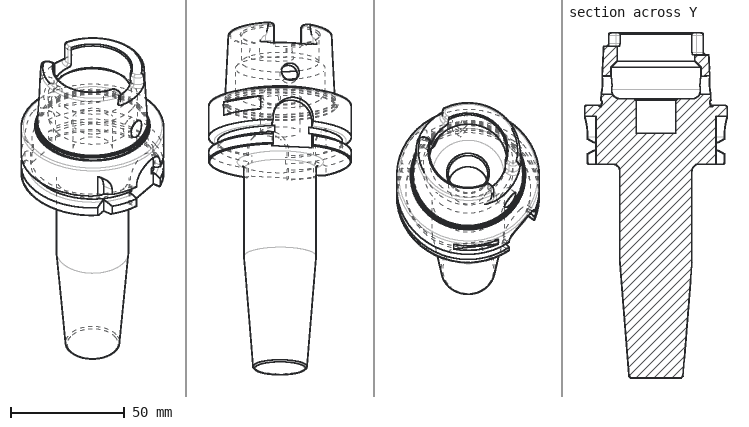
import cadquery as cq
import math


total_length = 152.0
taper_length = 31.9
flange_thickness = 26.0
nose_length = 51.0
tip_z = taper_length - total_length
flange_bottom_z = -flange_thickness
nose_top_z = tip_z + nose_length

taper_top_radius = 22.8
taper_slope = 1 / 20
taper_rim_fillet = 1.0
relief_height = 2.1
relief_step = 0.5
relief_foot_height = 0.6
relief_foot_step = 0.3
face_groove_depth = 0.6
face_groove_radius = 24.8
face_groove_chamfer = 0.6

flange_radius = 31.5
flange_top_fillet = 0.9
flange_bottom_chamfer = 0.5
groove_radius = 27.5
groove_top_z = -14.9
groove_bottom_z = -21.5
groove_flank_root_radius = 29.0
groove_step_rise = 0.5
groove_flank_angle = 30.0

shank_radius = 16.0
shank_fillet = 3.0
nose_half_angle = 4.5
nose_tip_chamfer = 0.8

bore_radius = 17.0
bore_chamfer = 0.6
bore_lip_depth = 12.5
chamber_radius = 19.8
chamber_depth = 29.0
chamber_fillet = 4.1
tube_hole_radius = 8.7
tube_hole_chamfer = 0.8
tube_hole_depth = 15.2

drive_slot_half_width = 6.2
drive_slot_flare_radius = 3.0
drive_slot_rim_radius = 23.1
drive_slot_mouth_reach = 2.3
drive_slot_floor_fillet = 1.2
deep_slot_depth = 9.7
shallow_slot_depth = 6.0

access_hole_radius = 4.0
access_hole_z = 8.8

keyway_half_width = 9.0
keyway_floor = 26.5
keyway_top_z = -4.9

notch_floor = 19.9
notch_wall = 19.8
notch_radius = 9.0
notch_wall_top_z = -12.2

chip_flat_distance = 29.8
chip_half_width = 9.9
chip_top_z = -4.0
chip_height = 6.0
chip_direction = 135.0

cut_reach = 2 * flange_radius


def turned_body():
    relief_radius = taper_top_radius + taper_slope * (taper_length - relief_height) - relief_step
    foot_radius = relief_radius + relief_foot_step
    groove_flank = (flange_radius - groove_flank_root_radius) * math.tan(math.radians(groove_flank_angle))
    tip_radius = shank_radius - nose_length * math.tan(math.radians(nose_half_angle))
    outline = [
        (0, tip_z),
        (tip_radius - nose_tip_chamfer, tip_z),
        (tip_radius, tip_z + nose_tip_chamfer),
        (shank_radius, nose_top_z),
        (shank_radius, flange_bottom_z - shank_fillet),
    ]
    profile = (
        cq.Workplane("XZ")
        .polyline(outline)
        .radiusArc((shank_radius + shank_fillet, flange_bottom_z), shank_fillet)
        .lineTo(flange_radius - flange_bottom_chamfer, flange_bottom_z)
        .lineTo(flange_radius, flange_bottom_z + flange_bottom_chamfer)
        .lineTo(flange_radius, groove_bottom_z)
        .lineTo(groove_flank_root_radius, groove_bottom_z + groove_flank)
        .lineTo(groove_radius, groove_bottom_z + groove_flank + groove_step_rise)
        .lineTo(groove_radius, groove_top_z - groove_flank - groove_step_rise)
        .lineTo(groove_flank_root_radius, groove_top_z - groove_flank)
        .lineTo(flange_radius, groove_top_z)
        .lineTo(flange_radius, -flange_top_fillet)
        .radiusArc((flange_radius - flange_top_fillet, 0), -flange_top_fillet)
        .lineTo(face_groove_radius + face_groove_chamfer, 0)
        .lineTo(face_groove_radius, -face_groove_depth)
        .lineTo(foot_radius, -face_groove_depth)
        .lineTo(foot_radius, relief_foot_height)
        .lineTo(relief_radius, relief_foot_height + relief_foot_step)
        .lineTo(relief_radius, relief_height - relief_step)
        .lineTo(relief_radius + relief_step, relief_height)
        .lineTo(taper_top_radius + taper_slope * taper_rim_fillet, taper_length - taper_rim_fillet)
        .radiusArc((taper_top_radius - taper_rim_fillet, taper_length), -taper_rim_fillet)
        .lineTo(0, taper_length)
        .close()
    )
    return profile.revolve(360, (0, 0, 0), (0, 1, 0))


def clamping_bore():
    lip_z = taper_length - bore_lip_depth
    chamber_top_z = lip_z - (chamber_radius - bore_radius)
    chamber_floor_z = taper_length - chamber_depth
    profile = (
        cq.Workplane("XZ")
        .moveTo(0, taper_length)
        .lineTo(bore_radius + bore_chamfer, taper_length)
        .lineTo(bore_radius, taper_length - bore_chamfer)
        .lineTo(bore_radius, lip_z)
        .lineTo(chamber_radius, chamber_top_z)
        .lineTo(chamber_radius, chamber_floor_z + chamber_fillet)
        .radiusArc((chamber_radius - chamber_fillet, chamber_floor_z), chamber_fillet)
        .lineTo(tube_hole_radius + tube_hole_chamfer, chamber_floor_z)
        .lineTo(tube_hole_radius, chamber_floor_z - tube_hole_chamfer)
        .lineTo(tube_hole_radius, chamber_floor_z - tube_hole_depth)
        .lineTo(0, chamber_floor_z - tube_hole_depth)
        .close()
    )
    return profile.revolve(360, (0, 0, 0), (0, 1, 0))


def drive_slot(side, depth):
    """Slot on the X side given by the sign `side`; its mouth flares into the taper along tangent arcs."""
    flare_y = drive_slot_half_width + drive_slot_flare_radius
    flare_distance = drive_slot_rim_radius - drive_slot_flare_radius
    flare_x = math.sqrt(flare_distance**2 - flare_y**2)
    rim_angle = math.asin(flare_y / flare_distance)
    middle_angle = (rim_angle - math.pi / 2) / 2

    def flare_point(angle):
        return (
            flare_x + drive_slot_flare_radius * math.cos(angle),
            flare_y + drive_slot_flare_radius * math.sin(angle),
        )

    middle = flare_point(middle_angle)
    end = flare_point(rim_angle)
    mouth = (
        end[0] - drive_slot_mouth_reach * math.sin(rim_angle),
        end[1] + drive_slot_mouth_reach * math.cos(rim_angle),
    )
    outer_x = drive_slot_rim_radius + drive_slot_mouth_reach

    def at(x, y):
        return (side * x, y)

    plan = (
        cq.Workplane("XY", origin=(0, 0, taper_length - depth))
        .moveTo(*at(0, -drive_slot_half_width))
        .lineTo(*at(flare_x, -drive_slot_half_width))
        .threePointArc(at(middle[0], -middle[1]), at(end[0], -end[1]))
        .lineTo(*at(mouth[0], -mouth[1]))
        .lineTo(*at(outer_x, -mouth[1]))
        .lineTo(*at(outer_x, mouth[1]))
        .lineTo(*at(*mouth))
        .lineTo(*at(*end))
        .threePointArc(at(*middle), at(flare_x, drive_slot_half_width))
        .lineTo(*at(0, drive_slot_half_width))
        .close()
    )
    slot = plan.extrude(depth).faces("<Z").edges().fillet(drive_slot_floor_fillet)
    plate = (
        cq.Workplane("XY", origin=(0, 0, taper_length))
        .rect(cut_reach, cut_reach)
        .extrude(2 * taper_rim_fillet)
    )
    selection_margin = taper_rim_fillet / 2
    selection_reach = outer_x + selection_margin
    wall_top_edges = cq.selectors.BoxSelector(
        (-selection_reach, -selection_reach, taper_length - selection_margin),
        (selection_reach, selection_reach, taper_length + selection_margin),
    )
    return slot.union(plate).edges(wall_top_edges).fillet(taper_rim_fillet)


def round_topped_slot(floor_x, center_y, half_width, straight_top_z):
    """Slot open at the flange bottom and on the +X side, with a half-round upper end."""
    left, right = center_y - half_width, center_y + half_width
    return (
        cq.Workplane("YZ", origin=(floor_x, 0, 0))
        .moveTo(left, flange_bottom_z)
        .lineTo(left, straight_top_z)
        .threePointArc((center_y, straight_top_z + half_width), (right, straight_top_z))
        .lineTo(right, flange_bottom_z)
        .close()
        .extrude(cut_reach)
    )


def chip_recess():
    recess = cq.Workplane("XY").box(
        cut_reach, 2 * chip_half_width, chip_height, centered=(False, True, False)
    )
    recess = recess.translate((chip_flat_distance, 0, chip_top_z - chip_height))
    return recess.rotate((0, 0, 0), (0, 0, 1), chip_direction)


def access_hole():
    return (
        cq.Workplane("YZ", origin=(0, 0, access_hole_z))
        .circle(access_hole_radius)
        .extrude(cut_reach, both=True)
    )


result = turned_body()
result = result.cut(drive_slot(-1, deep_slot_depth))
result = result.cut(drive_slot(1, shallow_slot_depth))
result = result.cut(clamping_bore())
result = result.cut(access_hole())

keyway = round_topped_slot(keyway_floor, 0, keyway_half_width, keyway_top_z - keyway_half_width)
result = result.cut(keyway)
result = result.cut(keyway.mirror("YZ"))

notch = round_topped_slot(notch_floor, -notch_wall - notch_radius, notch_radius, notch_wall_top_z)
result = result.cut(notch)
result = result.cut(chip_recess())